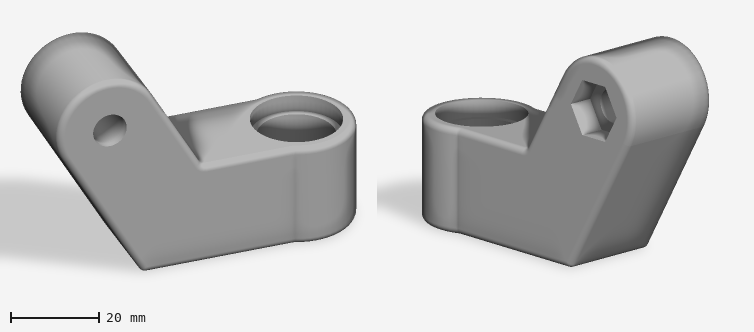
import cadquery as cq
import math

body_width = 25.0
body_height = 25.0
ring_diameter = 27.05
total_length = 76
total_height = 51.5
arm_angle = 60

bore_diameter = 18.1
seat_diameter = 21.1
seat_depth = 4.0
bolt_hole_diameter = 8.1
nut_across_flats = 13.0
nut_depth = 6.0

edge_radius = 1.5
bend_radius = 1.5

arm_radius = body_width / 2
pivot_y = ring_diameter / 2 - total_length + arm_radius
pivot_z = total_height - arm_radius
angle = math.radians(arm_angle)
normal_y = arm_radius * math.sin(angle)
normal_z = arm_radius * math.cos(angle)
inner_tangent = (pivot_y + normal_y, pivot_z + normal_z)
outer_tangent = (pivot_y - normal_y, pivot_z - normal_z)


def arm_side_y(tangent, z):
    """Y of the straight arm side through a tangent point, at height z."""
    return tangent[0] + (tangent[1] - z) / math.tan(angle)


def make_bent_body():
    """Level base and inclined arm with a round end, extruded across X."""
    return (
        cq.Workplane("YZ")
        .moveTo(0, 0)
        .lineTo(0, body_height)
        .lineTo(arm_side_y(inner_tangent, body_height), body_height)
        .lineTo(*inner_tangent)
        .threePointArc(
            (pivot_y - normal_z, pivot_z + normal_y),
            outer_tangent,
        )
        .lineTo(arm_side_y(outer_tangent, 0), 0)
        .close()
        .extrude(body_width / 2, both=True)
    )


def round_edges(body):
    """Blend the vertical seams and bends, then round the rims of both sides and the ring."""
    seam_y = -math.sqrt((ring_diameter / 2) ** 2 - (body_width / 2) ** 2)
    margin = 0.1
    seams = cq.selectors.BoxSelector(
        (-body_width, seam_y - margin, 0),
        (body_width, seam_y + margin, body_height),
    )
    body = body.edges("|Z").edges(seams).fillet(edge_radius)

    bend_y = arm_side_y(inner_tangent, body_height)
    inner_bend = cq.selectors.NearestToPointSelector((0, bend_y, body_height))
    body = body.edges("|X").edges(inner_bend).fillet(bend_radius)
    heel_y = arm_side_y(outer_tangent, 0)
    heel = cq.selectors.NearestToPointSelector((0, heel_y, 0))
    body = body.edges("|X").edges(heel).fillet(bend_radius)

    return body.faces("<X or >X").edges().fillet(edge_radius)


def cut_ring_bore(body):
    """Through bore with a wider seat at the top of the ring."""
    bore = cq.Workplane("XY").circle(bore_diameter / 2).extrude(body_height)
    seat = (
        cq.Workplane("XY", origin=(0, 0, body_height - seat_depth))
        .circle(seat_diameter / 2)
        .extrude(seat_depth)
    )
    return body.cut(bore).cut(seat)


def cut_pivot(body):
    """Cross hole through the arm end and a hexagonal nut pocket on -X."""
    nut_across_corners = nut_across_flats / math.cos(math.pi / 6)
    side = cq.Workplane("YZ", origin=(-body_width / 2, pivot_y, pivot_z))
    hole = side.circle(bolt_hole_diameter / 2).extrude(body_width)
    nut_pocket = side.polygon(6, nut_across_corners).extrude(nut_depth)
    return body.cut(hole).cut(nut_pocket)


ring = cq.Workplane("XY").circle(ring_diameter / 2).extrude(body_height)
result = make_bent_body().union(ring)
result = round_edges(result)
result = cut_ring_bore(result)
result = cut_pivot(result)